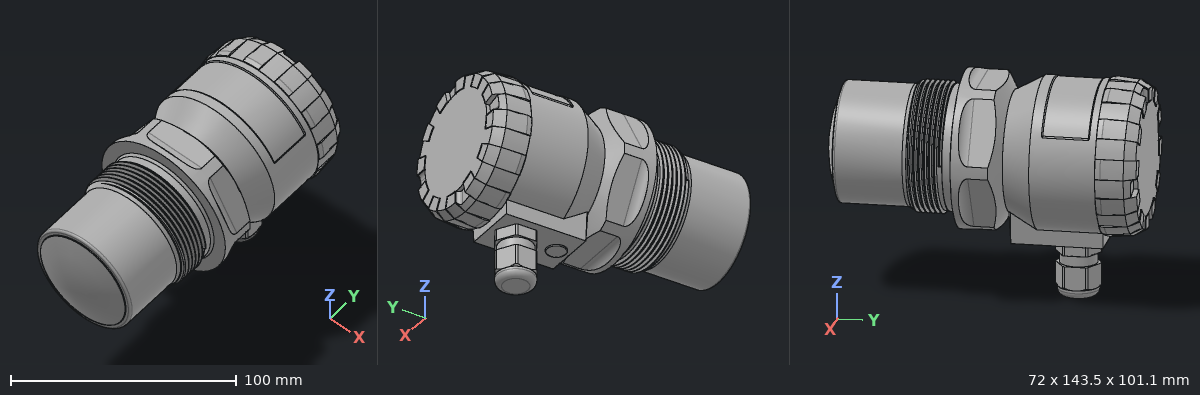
import cadquery as cq
import math


neck_radius = 27.5
housing_radius = 34.7
cone_length = 13.2
cap_start = 42.9
housing_length = 61.1

cap_radius = 34.9
cap_rear_radius = 32.0
cap_chamfer_start = 55.8
pad_count = 12
pad_angle = 360 / (2 * pad_count)
pad_base_rise = 0.5
pad_rear_rise = 0.5
pad_crest_rise = 0.9
pad_crest = 45.5
notch_count = 4
notch_depth = 2.5
notch_inner_radius = 25.8
notch_end_radius = 2.2

label_start = 18.1
label_end = 39.7
label_width = 60.3
label_depth = 0.5
label_edge_slope = 0.6

block_bottom = -39.0
block_bottom_width = 27.3
block_bottom_front = 1.3
block_draft = 3.5
block_height = 28.7
plug_y = 8.2
plug_height = 0.6
plug_diameter = 10.0
plug_end_diameter = 9.5

gland_y = 29.4
gland_across_flats = 18.7
gland_corner_diameter = 21.0
gland_hex_height = 5.7
gland_neck_diameter = 17.2
gland_neck_height = 5.0
nut_hex_height = 10.9
nut_end_diameter = 19.0
nut_chamfer_height = 0.9
nut_end_fillet = 3.2
gland_bottom = -65.1

flange_diameter = 72.0
flange_face = 22.0
hex_flat_count = 6
hex_across_flats = 65.0
hex_chamfer_length = 5.0
flat_end = 14.0
flat_fillet = 5.0
relief_top_radius = 29.4
relief_length = 1.5
relief_diameter = 57.1
thread_root_diameter = 56.4
thread_major_diameter = 59.5
thread_start = 27.1
thread_end = 43.3
thread_pitch = 2.3
thread_base_width = 1.9
thread_crest_width = 0.5
thread_run_out = 3.2
thread_embed = 0.3
collar_radius = 28.5
collar_end = 45.2
barrel_diameter = 55.0
barrel_end = 76.8
barrel_fillet = 1.1
dome_base_diameter = 49.8
dome_rim_diameter = 49.4
dome_rim_height = 0.5
sensor_length = 82.4

axis_start = (0, 0, 0)
axis_end = (0, 1, 0)


def sector(points, start_angle=0, angle=360):
    """Revolve a (radius, Y) outline about Y, turning from +X towards -Z; a full turn by default."""
    body = cq.Workplane("XY").polyline(points).close().revolve(angle, axis_start, axis_end)
    return body.rotate(axis_start, axis_end, start_angle)


def make_cap():
    cap = sector(
        [
            (0, cap_start),
            (cap_radius, cap_start),
            (cap_radius, cap_chamfer_start),
            (cap_rear_radius - pad_rear_rise, housing_length - pad_rear_rise),
            (0, housing_length - pad_rear_rise),
        ]
    )
    pad_outline = [
        (notch_inner_radius, cap_start),
        (cap_radius + pad_base_rise, cap_start),
        (cap_radius + pad_crest_rise, pad_crest),
        (cap_radius, cap_chamfer_start),
        (cap_rear_radius, housing_length),
        (notch_inner_radius, housing_length),
    ]
    for index in range(pad_count):
        cap = cap.union(sector(pad_outline, (2 * index + 1) * pad_angle, pad_angle))

    notch_floor = housing_length - notch_depth
    notch_outline = [
        (notch_inner_radius, notch_floor),
        (cap_radius, notch_floor),
        (cap_radius, housing_length),
        (notch_inner_radius, housing_length),
    ]
    notch = sector(notch_outline, angle=pad_angle)
    notch = notch.edges("|X").edges("<Y").fillet(notch_end_radius)
    for index in range(notch_count):
        cap = cap.cut(notch.rotate(axis_start, axis_end, index * 360 / notch_count))
    return cap


def make_entry_block():
    length = cap_start - block_bottom_front
    drafted = (
        cq.Workplane("XY", origin=(0, cap_start, block_bottom))
        .rect(block_bottom_width, 2 * length)
        .extrude(block_height, taper=-block_draft)
    )
    keep = cq.Workplane("XY").box(2 * housing_radius, cap_start, 2 * abs(block_bottom)).translate(
        (0, cap_start / 2, 0)
    )
    block = drafted.intersect(keep)
    plug = (
        cq.Workplane("XY", origin=(0, plug_y, block_bottom))
        .circle(plug_diameter / 2)
        .workplane(offset=-plug_height)
        .circle(plug_end_diameter / 2)
        .loft()
    )
    return block.union(plug)


def make_label_recess():
    length = label_end - label_start
    ring = sector(
        [
            (housing_radius - label_depth, label_start + label_edge_slope),
            (housing_radius, label_start),
            (housing_radius + label_depth, label_start),
            (housing_radius + label_depth, label_end),
            (housing_radius, label_end),
            (housing_radius - label_depth, label_end - label_edge_slope),
        ]
    )
    window = cq.Workplane("XY").box(label_width, length, housing_radius + label_depth).translate(
        (0, label_start + length / 2, (housing_radius + label_depth) / 2)
    )
    return ring.intersect(window)


def make_housing():
    shell = sector(
        [
            (0, 0),
            (neck_radius, 0),
            (housing_radius, cone_length),
            (housing_radius, cap_start),
            (0, cap_start),
        ]
    )
    return shell.union(make_entry_block()).cut(make_label_recess()).union(make_cap())


def make_gland_hex(top, height):
    """Hexagon with flats facing +X and -X and its corners turned round."""
    place = cq.Workplane("XY", origin=(0, gland_y, top))
    hexagon = place.polygon(6, gland_across_flats, circumscribed=True).extrude(-height)
    return hexagon.intersect(place.circle(gland_corner_diameter / 2).extrude(-height))


def make_gland():
    neck_top = block_bottom - gland_hex_height
    nut_top = neck_top - gland_neck_height
    nut_hex_bottom = nut_top - nut_hex_height
    neck = (
        cq.Workplane("XY", origin=(0, gland_y, neck_top))
        .circle(gland_neck_diameter / 2)
        .extrude(-gland_neck_height)
    )
    nut_end = (
        cq.Workplane("XY", origin=(0, gland_y, nut_hex_bottom))
        .circle(nut_end_diameter / 2)
        .extrude(gland_bottom - nut_hex_bottom)
        .faces("<Z")
        .edges()
        .fillet(nut_end_fillet)
    )
    corner_radius = gland_corner_diameter / 2
    chamfered = (
        cq.Workplane("XZ", origin=(0, gland_y, 0))
        .polyline(
            [
                (0, nut_top),
                (corner_radius, nut_top),
                (corner_radius, nut_hex_bottom + nut_chamfer_height),
                (nut_end_diameter / 2, nut_hex_bottom),
                (0, nut_hex_bottom),
            ]
        )
        .close()
        .revolve(360, (0, 0, 0), (0, 1, 0))
    )
    nut = make_gland_hex(nut_top, nut_hex_height).intersect(chamfered)
    return make_gland_hex(block_bottom, gland_hex_height).union(neck).union(nut).union(nut_end)


def make_sensor_blank():
    flange_radius = flange_diameter / 2
    root_radius = thread_root_diameter / 2
    barrel_radius = barrel_diameter / 2
    rim_radius = dome_rim_diameter / 2
    rim_y = barrel_end + dome_rim_height
    rise = sensor_length - rim_y
    sphere_radius = (rim_radius**2 + rise**2) / (2 * rise)
    middle_drop = sphere_radius - math.sqrt(sphere_radius**2 - (rim_radius / 2) ** 2)
    profile = (
        cq.Workplane("XY")
        .moveTo(0, 0)
        .lineTo(neck_radius, 0)
        .lineTo(flange_radius, -hex_chamfer_length)
        .lineTo(flange_radius, -flange_face)
        .lineTo(relief_top_radius, -flange_face)
        .lineTo(relief_diameter / 2, -flange_face - relief_length)
        .lineTo(relief_diameter / 2, -thread_start)
        .lineTo(root_radius, -thread_start)
        .lineTo(root_radius, -thread_end)
        .lineTo(collar_radius, -thread_end)
        .lineTo(barrel_radius, -collar_end)
        .lineTo(barrel_radius, barrel_fillet - barrel_end)
        .radiusArc((barrel_radius - barrel_fillet, -barrel_end), barrel_fillet)
        .lineTo(dome_base_diameter / 2, -barrel_end)
        .lineTo(rim_radius, -rim_y)
        .threePointArc((rim_radius / 2, middle_drop - sensor_length), (0, -sensor_length))
        .close()
    )
    return profile.revolve(360, axis_start, axis_end)


def make_wrench_flat():
    """Cutter for the flat on the +Z side, rounded up to the flange at its front end."""
    outside = flange_diameter
    hex_apothem = hex_across_flats / 2
    return (
        cq.Workplane("YZ", origin=(-flange_diameter / 2, 0, 0))
        .moveTo(0, hex_apothem)
        .lineTo(-flat_end, hex_apothem)
        .radiusArc((-flat_end - flat_fillet, hex_apothem + flat_fillet), flat_fillet)
        .lineTo(-flat_end - flat_fillet, outside)
        .lineTo(0, outside)
        .close()
        .extrude(flange_diameter)
    )


def make_thread_ridge():
    root_radius = thread_root_diameter / 2
    base_radius = root_radius - thread_embed
    crest_radius = thread_major_diameter / 2
    helix_length = collar_end - thread_start - thread_run_out
    path = cq.Workplane(obj=cq.Wire.makeHelix(thread_pitch, helix_length, root_radius))
    ridge = (
        cq.Workplane("XZ")
        .polyline(
            [
                (base_radius, -thread_base_width / 2),
                (crest_radius, -thread_crest_width / 2),
                (crest_radius, thread_crest_width / 2),
                (base_radius, thread_base_width / 2),
            ]
        )
        .close()
        .sweep(path, isFrenet=True)
    )
    ridge = ridge.rotate((0, 0, 0), (1, 0, 0), 90)
    return ridge.translate((0, -thread_start - thread_base_width / 2, 0))


def make_thread_trim():
    """Cutter that carries the cone of the collar on outwards and tapers the last turns."""
    barrel_radius = barrel_diameter / 2
    outer_radius = thread_major_diameter / 2 + thread_embed
    cone_slope = (collar_end - thread_end) / (collar_radius - barrel_radius)
    outer_cone_y = cone_slope * (outer_radius - barrel_radius) - collar_end
    return sector(
        [
            (barrel_radius, -collar_end),
            (outer_radius, outer_cone_y),
            (outer_radius, -collar_end - thread_pitch),
            (barrel_radius, -collar_end - thread_pitch),
        ]
    )


def make_sensor():
    sensor = make_sensor_blank()
    flat = make_wrench_flat()
    for index in range(hex_flat_count):
        sensor = sensor.cut(flat.rotate(axis_start, axis_end, index * 360 / hex_flat_count))
    return sensor.union(make_thread_ridge()).cut(make_thread_trim())


housing = make_housing()
gland = make_gland()
sensor = make_sensor()

result = cq.Compound.makeCompound(
    [housing.solids().val(), gland.solids().val(), sensor.solids().val()]
)